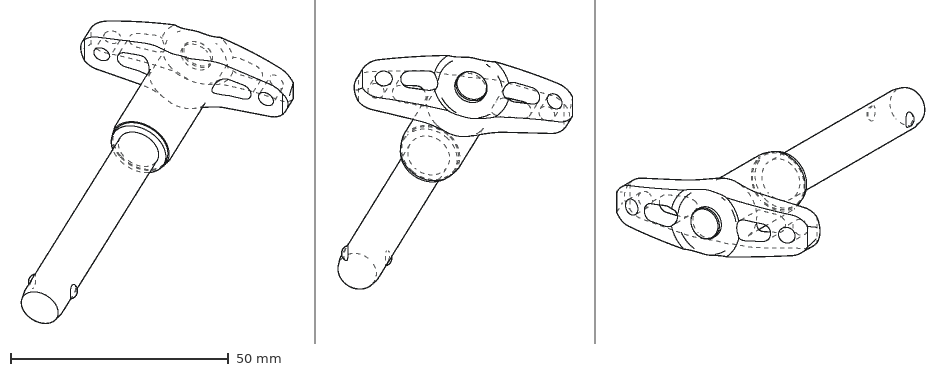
import cadquery as cq
import math


shoulder_to_tip = 59.5
pin_radius = 5.0
tip_radius = 4.6
tip_taper_length = 2.4

ball_radius = 1.9
ball_reach = 5.95
ball_to_tip = 8.0

overall_length = 95.4
button_top = overall_length - shoulder_to_tip
collar_radius = 6.8
collar_length = 1.2
neck_radius = 7.4
neck_end_radius = 7.1
neck_taper_length = 1.7
flare_start = button_top - 12.45
flare_radius = 4.25

button_radius = 3.75
button_top_radius = 3.55
button_chamfer_height = 0.3
hollow_floor = button_top - 1.25
hollow_floor_radius = 7.7
hollow_wall_radius = 8.4
hollow_wall = button_top - 0.95
hollow_rim_radius = 9.1

grip_length = 51.5
grip_height = 15.79
grip_end_radius = 5.0
dome_rim = button_top - 0.3
dome_middle_radius = 17.0
dome_middle = button_top - 1.45
dome_edge_radius = 25.1
dome_edge = button_top - 3.55
tip_half_length_top = 25.1
underside_droop = math.radians(2.9)
bevel_start_x = 24.6
bevel_height = 0.5

lanyard_hole_radius = 1.9
lanyard_hole_x = 20.4
slot_inner_radius = 2.5
slot_inner_x = 10.3
slot_outer_radius = 2.15
slot_outer_x = 14.45


pin_tip = -shoulder_to_tip
grip_half_length = grip_length / 2
grip_half_height = grip_height / 2
flare_center_radius = neck_radius + flare_radius
flare_end_radius = flare_center_radius + flare_radius * math.sin(underside_droop)
flare_end = flare_start + flare_radius * math.cos(underside_droop)


def underside(radius):
    """Height of the conical underside at a distance from the pin axis."""
    return flare_end - (radius - flare_end_radius) * math.tan(underside_droop)


def round_bar(near_radius, near_x, far_radius, far_x):
    """Bar along Y, longer than the grip is deep, whose section wraps two circles on the X axis."""
    sine = (near_radius - far_radius) / (far_x - near_x)
    cosine = math.sqrt(1 - sine ** 2)
    near_tangent_x = near_x + near_radius * sine
    far_tangent_x = far_x + far_radius * sine
    return (
        cq.Workplane("XZ", origin=(0, button_top, 0))
        .moveTo(near_tangent_x, near_radius * cosine)
        .lineTo(far_tangent_x, far_radius * cosine)
        .threePointArc((far_x + far_radius, 0), (far_tangent_x, -far_radius * cosine))
        .lineTo(near_tangent_x, -near_radius * cosine)
        .threePointArc((near_x - near_radius, 0), (near_tangent_x, near_radius * cosine))
        .close()
        .extrude(button_top)
    )


def both_sides(wing_feature):
    return wing_feature.union(wing_feature.mirror("YZ"))


def turned(profile):
    return profile.close().revolve(360, (0, 0, 0), (0, 1, 0))


def make_pin():
    shaft = turned(
        cq.Workplane("XY").polyline([
            (0, pin_tip),
            (tip_radius, pin_tip),
            (pin_radius, pin_tip + tip_taper_length),
            (pin_radius, collar_length),
            (0, collar_length),
        ])
    )
    ball_center = (ball_reach - ball_radius, pin_tip + ball_to_tip, 0)
    ball = cq.Workplane("XY").sphere(ball_radius).translate(ball_center)
    return shaft.union(both_sides(ball))


def make_body():
    """Collar, neck, flare and domed disc, all turned about the pin axis."""
    bulge = flare_radius * math.sqrt(0.5)
    return turned(
        cq.Workplane("XY")
        .moveTo(0, 0)
        .lineTo(collar_radius, 0)
        .lineTo(collar_radius, collar_length)
        .lineTo(neck_end_radius, collar_length)
        .lineTo(neck_radius, collar_length + neck_taper_length)
        .lineTo(neck_radius, flare_start)
        .threePointArc(
            (flare_center_radius - bulge, flare_start + bulge),
            (flare_end_radius, flare_end),
        )
        .lineTo(grip_half_length, underside(grip_half_length))
        .lineTo(grip_half_length, dome_edge)
        .lineTo(dome_edge_radius, dome_edge)
        .threePointArc((dome_middle_radius, dome_middle), (hollow_rim_radius, dome_rim))
        .threePointArc((hollow_wall_radius, hollow_wall), (hollow_floor_radius, hollow_floor))
        .lineTo(button_radius, hollow_floor)
        .lineTo(button_radius, button_top - button_chamfer_height)
        .lineTo(button_top_radius, button_top)
        .lineTo(0, button_top)
    )


def make_end_trim():
    """Block whose ends lean inwards at the top and are bevelled underneath."""
    bevel_start = underside(bevel_start_x)
    half = (
        cq.Workplane("XY", origin=(0, 0, -grip_half_height))
        .lineTo(bevel_start_x, 0)
        .lineTo(bevel_start_x, bevel_start)
        .lineTo(grip_half_length, bevel_start + bevel_height)
        .lineTo(tip_half_length_top, dome_edge)
        .lineTo(tip_half_length_top, button_top)
        .lineTo(0, button_top)
        .close()
        .extrude(grip_height)
    )
    return both_sides(half)


def make_handle():
    outline = both_sides(
        round_bar(grip_half_height, 0, grip_end_radius, grip_half_length - grip_end_radius)
    )
    handle = make_body().intersect(outline).intersect(make_end_trim())
    slot = round_bar(slot_inner_radius, slot_inner_x, slot_outer_radius, slot_outer_x)
    lanyard_hole = (
        cq.Workplane("XZ", origin=(lanyard_hole_x, button_top, 0))
        .circle(lanyard_hole_radius)
        .extrude(button_top)
    )
    return handle.cut(both_sides(slot)).cut(both_sides(lanyard_hole))


result = make_handle().union(make_pin())